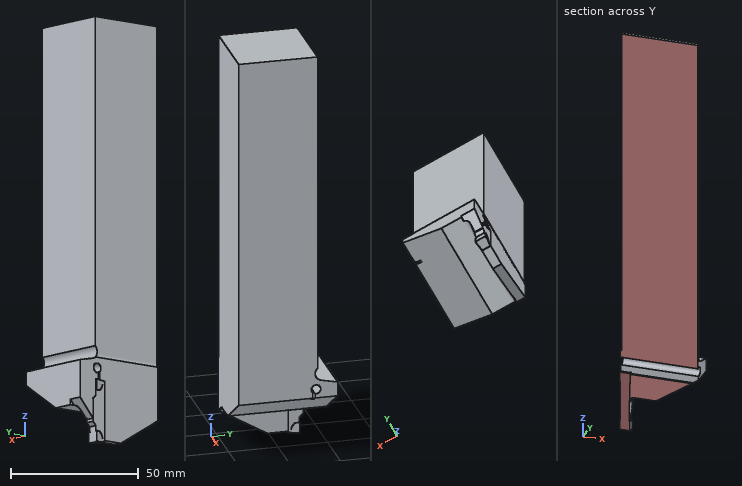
import cadquery as cq

length = 170.0
shank_depth = 32.0
head_depth = 40.1
right_x = 33.0
side_taper = 0.24
shank_left_x = 1.0
head_left_x = 0.5
step_top_z = 35.5
step_bottom_z = 33.8
step_radius = 2.5

blade_thickness = 3.9
blade_right_x = head_left_x + blade_thickness
shoulder_z = 14.6
shoulder_end_x = 15.5
shoulder_slope_top_z = 26.0
shoulder_fillet = 2.0
blade_bottom_z = 1.0
blade_slope_y = 18.9
blade_slope_top_z = 12.2
nose_top_z = 16.8
nose_bottom_z = 9.2

head_top_z = 31.8
undercut_top_z = 38.5
undercut_depth = 1.0
undercut_mid_z = 36.0
undercut_end_y = 33.2
undercut_end_z = 33.3

slot_hole_radius = 1.9
slot_hole_y = 31.3
slot_hole_z = 29.5
slot_width = 0.8
slot_center_y = 30.5

insert_back_y = 27.4
insert_edge_y = 32.0
insert_ridge_y = 33.5
insert_mid_z = 12.5
insert_half_length = 12.5
end_relief = 0.5
ridge_half_length = 4.6
ridge_foot_half_length = 6.1
tip_overhang = 0.5
tip_length = 4.5
tip_back_y = 28.5
tip_mid_y = 28.9
tip_mid_inset = 2.9
tip_inner_y = 30.3
tip_corner_radius = 0.5


def make_side_block():
    """Holder outline in YZ, extruded through the whole width."""
    return (
        cq.Workplane("YZ")
        .moveTo(0, length)
        .lineTo(0, blade_slope_top_z)
        .lineTo(blade_slope_y, blade_bottom_z)
        .lineTo(head_depth, blade_bottom_z)
        .lineTo(head_depth, head_top_z)
        .lineTo(undercut_end_y, undercut_end_z)
        .threePointArc((shank_depth - undercut_depth, undercut_mid_z), (shank_depth, undercut_top_z))
        .lineTo(shank_depth, length)
        .close()
        .extrude(right_x)
    )


def make_front_block():
    """Holder outline in XZ, with the thin blade below the shoulder."""
    return (
        cq.Workplane("XZ")
        .moveTo(shank_left_x, length)
        .lineTo(shank_left_x, step_top_z)
        .radiusArc((head_left_x, step_bottom_z), step_radius)
        .lineTo(head_left_x, 0)
        .lineTo(blade_right_x, 0)
        .lineTo(blade_right_x, shoulder_z - shoulder_fillet)
        .radiusArc((blade_right_x + shoulder_fillet, shoulder_z), shoulder_fillet)
        .lineTo(shoulder_end_x, shoulder_z)
        .lineTo(right_x, shoulder_slope_top_z)
        .lineTo(right_x, length)
        .close()
        .extrude(-head_depth)
    )


def make_side_taper_cut():
    """Wedge that leans the +X face inward toward -Y."""
    return (
        cq.Workplane("XY")
        .polyline([(right_x, 0), (right_x - side_taper, 0), (right_x, head_depth)])
        .close()
        .extrude(length)
    )


def make_nose_cut():
    """Removes the blade in front of the jaw's sloped edge and below the insert seat."""
    return (
        cq.Workplane("YZ")
        .polyline([
            (head_depth, 0),
            (insert_back_y, 0),
            (insert_back_y, nose_bottom_z),
            (insert_ridge_y, nose_bottom_z),
            (head_depth, nose_top_z),
        ])
        .close()
        .extrude(blade_right_x + shoulder_fillet)
    )


def make_clamping_slot():
    """Narrow slot from the insert seat up to a round relief hole."""
    hole = (
        cq.Workplane("YZ")
        .center(slot_hole_y, slot_hole_z)
        .circle(slot_hole_radius)
        .extrude(right_x)
    )
    slit_bottom_z = insert_mid_z + insert_half_length - end_relief
    slit_height = slot_hole_z - slit_bottom_z
    slit = (
        cq.Workplane("YZ")
        .center(slot_center_y, slit_bottom_z + slit_height / 2)
        .rect(slot_width, slit_height)
        .extrude(right_x)
    )
    return hole.union(slit)


def make_tip(end):
    """Wider tip, narrowing toward its back, at the upper (end=1) or lower (end=-1) end."""
    def point(y, inset):
        return (y, insert_mid_z + end * (insert_half_length - inset))

    relief_per_depth = end_relief / (insert_edge_y - insert_back_y)
    back_inset = relief_per_depth * (insert_edge_y - tip_back_y)
    tip_right_x = blade_right_x + tip_overhang
    tip_left_x = head_left_x - tip_overhang
    block = (
        cq.Workplane("YZ")
        .workplane(offset=tip_left_x)
        .moveTo(*point(insert_edge_y, 0))
        .lineTo(*point(tip_back_y, back_inset))
        .threePointArc(point(tip_mid_y, tip_mid_inset), point(tip_inner_y, tip_length))
        .lineTo(*point(insert_edge_y, tip_length))
        .close()
        .extrude(tip_right_x - tip_left_x)
    )
    side_relief = (
        cq.Workplane("XY")
        .polyline([
            (tip_left_x, insert_edge_y),
            (tip_right_x, insert_edge_y),
            (blade_right_x, tip_back_y),
            (head_left_x, tip_back_y),
        ])
        .close()
        .extrude(2 * insert_mid_z)
    )
    rounded_corners = (
        cq.Workplane("XY")
        .box(tip_right_x - tip_left_x, head_depth, 2 * insert_half_length)
        .edges("|Y")
        .fillet(tip_corner_radius)
        .translate(((tip_left_x + tip_right_x) / 2, head_depth / 2, insert_mid_z))
    )
    return block.intersect(side_relief).intersect(rounded_corners)


def make_insert():
    """Insert bar symmetric about its middle height, with a tip at each end."""
    upper_half = [
        (insert_back_y, insert_half_length - end_relief),
        (insert_edge_y, insert_half_length),
        (insert_edge_y, ridge_foot_half_length),
        (insert_ridge_y, ridge_half_length),
    ]
    upper = [(y, insert_mid_z + h) for y, h in upper_half]
    lower = [(y, insert_mid_z - h) for y, h in reversed(upper_half)]
    bar = (
        cq.Workplane("YZ")
        .workplane(offset=head_left_x)
        .polyline(upper + lower)
        .close()
        .extrude(blade_thickness)
    )
    for end in (1, -1):
        bar = bar.union(make_tip(end))
    return bar


def make_holder(insert):
    """Shank and head in one piece, with a seat matching the insert."""
    return (
        make_side_block()
        .intersect(make_front_block())
        .cut(make_side_taper_cut())
        .cut(make_nose_cut())
        .cut(make_clamping_slot())
        .cut(insert)
    )


cutting_insert = make_insert()
holder = make_holder(cutting_insert)

result = cq.Compound.makeCompound([holder.val(), cutting_insert.val()])